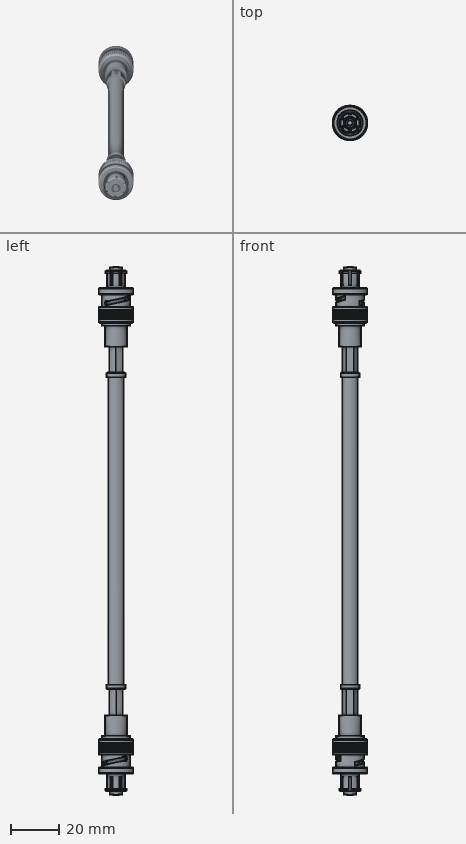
import cadquery as cq
import math

total_length = 219.3
cut_margin = 0.2

pin_radius = 1.0
pin_protrusion = 0.2
tip_radius = 2.6
tip_bore_radius = 2.0
tip_bore_depth = 2.2
lip_radius = 4.4
lip_chamfer = 0.5
lip_depth = 1.5
lip_end_depth = 2.6
neck_radius = 3.84
slot_count = 6
slot_width = 0.9
slot_floor_radius = 3.3
slot_end_depth = 7.7

shell_radius = 7.2
shell_bore_radius = 5.3
barrel_radius = 6.0
ring_depth = 8.8
ring_end_depth = 11.6
ring_chamfer = 0.5
grip_depth = 16.7
grip_end_depth = 23.5
grip_front_chamfer = 0.2
grip_rear_chamfer = 0.7
bore_end_depth = grip_depth
collar_end_depth = 24.5

groove_count = 48
groove_depth = 0.33
knurl_depth = 17.8
knurl_end_depth = 21.7

cam_count = 2
cam_sweep = 110.0
latch_offset = 40.0
cam_width = 1.5
cam_start_depth = 13.0
cam_end_depth = 15.1
latch_diameter = 2.2

rear_radius = 4.5
rear_end_depth = 33.1
crimp_corner_radius = 3.3
crimp_end_depth = 43.9
flare_radius = 4.0
flare_chamfer = 0.5
ferrule_end_depth = 45.8
cable_radius = 3.3


def height(depth):
    """Z of a point on the upper plug at the given depth below its tip."""
    return total_length - depth


def revolved(profile):
    """Solid of revolution about Z from (radius, depth) points."""
    points = [(radius, height(depth)) for radius, depth in profile]
    return cq.Workplane("XZ").polyline(points).close().revolve(360, (0, 0), (0, 1))


def plug_blank():
    """Turned shape of the plug, with the annular gap between neck and shell."""
    return revolved([
        (0, 0),
        (pin_radius, 0),
        (pin_radius, tip_bore_depth),
        (tip_bore_radius, tip_bore_depth),
        (tip_bore_radius, pin_protrusion),
        (tip_radius, pin_protrusion),
        (tip_radius, lip_depth),
        (lip_radius - lip_chamfer, lip_depth),
        (lip_radius, lip_depth + lip_chamfer),
        (lip_radius, lip_end_depth),
        (neck_radius, lip_end_depth),
        (neck_radius, bore_end_depth),
        (shell_bore_radius, bore_end_depth),
        (shell_bore_radius, ring_depth),
        (shell_radius - ring_chamfer, ring_depth),
        (shell_radius, ring_depth + ring_chamfer),
        (shell_radius, ring_end_depth - ring_chamfer),
        (shell_radius - ring_chamfer, ring_end_depth),
        (barrel_radius, ring_end_depth),
        (barrel_radius, grip_depth),
        (shell_radius - grip_front_chamfer, grip_depth),
        (shell_radius, grip_depth + grip_front_chamfer),
        (shell_radius, grip_end_depth - grip_rear_chamfer),
        (shell_radius - grip_rear_chamfer, grip_end_depth),
        (barrel_radius, grip_end_depth),
        (barrel_radius, collar_end_depth),
        (rear_radius, collar_end_depth),
        (rear_radius, rear_end_depth),
        (0, rear_end_depth),
    ])


def finger_slots():
    """Slots that split the neck and its lip into spring fingers."""
    slot_length = shell_bore_radius - slot_floor_radius
    slot = cq.Workplane("XY").box(
        slot_length, slot_width, slot_end_depth, centered=(False, True, False)
    ).translate((slot_floor_radius, 0, height(slot_end_depth)))
    pitch = 360 / slot_count
    return [
        slot.rotate((0, 0, 0), (0, 0, 1), (index + 0.5) * pitch).val()
        for index in range(slot_count)
    ]


def knurl_grooves():
    """Straight V grooves around the grip."""
    half_width = math.pi * shell_radius / groove_count
    groove = (
        cq.Workplane("XY", origin=(0, 0, height(knurl_end_depth)))
        .polyline([
            (shell_radius - groove_depth, 0),
            (shell_radius + cut_margin, -half_width),
            (shell_radius + cut_margin, half_width),
        ])
        .close()
        .extrude(knurl_end_depth - knurl_depth)
    )
    return [
        groove.rotate((0, 0, 0), (0, 0, 1), index * 360 / groove_count).val()
        for index in range(groove_count)
    ]


def cam_slots():
    """Helical cam slots through the barrel wall, each with its latch hole."""
    rise = cam_end_depth - cam_start_depth
    wall_middle = (shell_bore_radius + barrel_radius) / 2
    cut_thickness = barrel_radius - shell_bore_radius + 2 * cut_margin
    helix = cq.Wire.makeHelix(rise * 360 / cam_sweep, rise, wall_middle)
    groove = (
        cq.Workplane("XZ")
        .center(wall_middle, 0)
        .rect(cut_thickness, cam_width)
        .sweep(cq.Workplane(helix), isFrenet=True)
    )
    latch = (
        cq.Workplane("YZ", origin=(wall_middle - cut_thickness / 2, 0, 0))
        .circle(latch_diameter / 2)
        .extrude(cut_thickness)
    )
    cutters = []
    for index in range(cam_count):
        latch_angle = index * 360 / cam_count - latch_offset
        for cutter in (groove, latch):
            placed = cutter.rotate((0, 0, 0), (0, 0, 1), latch_angle)
            cutters.append(placed.translate((0, 0, height(cam_end_depth))).val())
    return cutters


def make_plug():
    """Upper bayonet plug."""
    cutters = finger_slots() + knurl_grooves() + cam_slots()
    return plug_blank().val().cut(*cutters)


def make_ferrule():
    """Upper crimp ferrule: a hexagonal sleeve with a flared cable end."""
    crimp = (
        cq.Workplane("XY", origin=(0, 0, height(crimp_end_depth)))
        .polygon(6, 2 * crimp_corner_radius)
        .extrude(crimp_end_depth - rear_end_depth)
    )
    flare = (
        cq.Workplane("XY", origin=(0, 0, height(ferrule_end_depth)))
        .circle(flare_radius)
        .extrude(ferrule_end_depth - crimp_end_depth)
        .faces(">Z")
        .chamfer(flare_chamfer)
    )
    return crimp.union(flare).val()


def make_cable():
    """Plain round cable between the two ferrules."""
    return (
        cq.Workplane("XY", origin=(0, 0, ferrule_end_depth))
        .circle(cable_radius)
        .extrude(total_length - 2 * ferrule_end_depth)
        .val()
    )


def turned_over(body):
    """Copy of an upper-end body turned half a turn about X to the lower end."""
    middle = total_length / 2
    return body.rotate((0, 0, middle), (1, 0, middle), 180)


bodies = [make_cable()]
for upper_body in (make_plug(), make_ferrule()):
    bodies.append(upper_body)
    bodies.append(turned_over(upper_body))

result = cq.Compound.makeCompound(bodies)